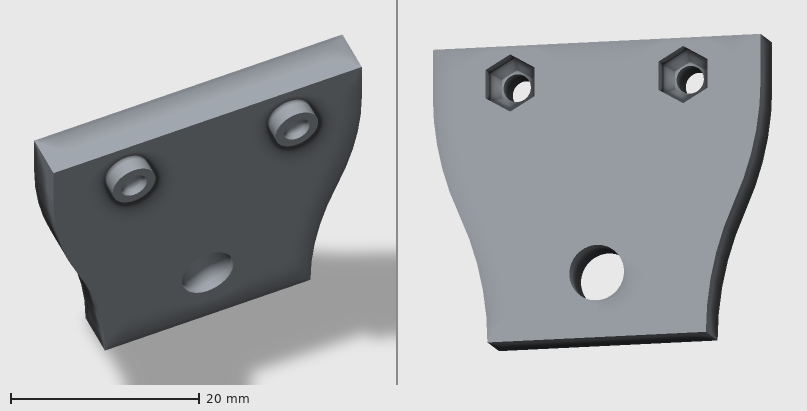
import math

import cadquery as cq

plate_thickness = 5.0
plate_height = 32.0
top_width = 36.0
bottom_width = 24.0
straight_side_height = 5.0
inflection_height = 14.0

pivot_hole_diameter = 6.0
pivot_hole_height = 7.0

screw_spacing = 19.0
screw_drop_from_top = 4.0
screw_hole_diameter = 3.0
boss_diameter = 5.0
boss_length = 2.0

nut_corners = 6.2
pocket_floor_corners = 3.9
nut_depth = 2.0
taper_depth = 1.0

curve_top = plate_height - straight_side_height
side_inset = (top_width - bottom_width) / 2
arc_angle = 2 * math.atan(side_inset / curve_top)
upper_radius = (curve_top - inflection_height) / math.sin(arc_angle)
lower_radius = inflection_height / math.sin(arc_angle)

screw_height = plate_height - screw_drop_from_top
screw_points = [(side * screw_spacing / 2, screw_height) for side in (-1, 1)]


def upper_arc_point(angle):
    """Point on the convex upper arc, measured down from its vertical end."""
    y = top_width / 2 - upper_radius * (1 - math.cos(angle))
    return y, curve_top - upper_radius * math.sin(angle)


def lower_arc_point(angle):
    """Point on the concave lower arc, measured up from its vertical end."""
    y = bottom_width / 2 + lower_radius * (1 - math.cos(angle))
    return y, lower_radius * math.sin(angle)


def mirrored(point):
    return -point[0], point[1]


def make_plate():
    upper_middle = upper_arc_point(arc_angle / 2)
    inflection = upper_arc_point(arc_angle)
    lower_middle = lower_arc_point(arc_angle / 2)
    bottom_corner = (bottom_width / 2, 0)
    curve_start = (top_width / 2, curve_top)
    top_corner = (top_width / 2, plate_height)
    return (
        cq.Workplane("YZ")
        .moveTo(*mirrored(bottom_corner))
        .lineTo(*bottom_corner)
        .threePointArc(lower_middle, inflection)
        .threePointArc(upper_middle, curve_start)
        .lineTo(*top_corner)
        .lineTo(*mirrored(top_corner))
        .lineTo(*mirrored(curve_start))
        .threePointArc(mirrored(upper_middle), mirrored(inflection))
        .threePointArc(mirrored(lower_middle), mirrored(bottom_corner))
        .close()
        .extrude(plate_thickness)
    )


def make_bosses():
    """Round bosses on the +X face, one behind each nut pocket."""
    return (
        cq.Workplane("YZ", origin=(plate_thickness, 0, 0))
        .pushPoints(screw_points)
        .circle(boss_diameter / 2)
        .extrude(boss_length)
    )


def hexagon_points(corner_diameter):
    """Hexagon corners in the YZ plane, with one corner pointing up."""
    radius = corner_diameter / 2
    angles = [math.radians(30 + 60 * corner) for corner in range(6)]
    return [(radius * math.cos(angle), radius * math.sin(angle)) for angle in angles]


def make_nut_pocket(y, z):
    """Hexagonal pocket in the -X face with a tapered bottom."""
    straight_part = (
        cq.Workplane("YZ", origin=(0, y, z))
        .polyline(hexagon_points(nut_corners))
        .close()
        .extrude(nut_depth)
    )
    tapered_part = (
        cq.Workplane("YZ", origin=(nut_depth, y, z))
        .polyline(hexagon_points(nut_corners))
        .close()
        .workplane(offset=taper_depth)
        .polyline(hexagon_points(pocket_floor_corners))
        .close()
        .loft(ruled=True)
    )
    return straight_part.union(tapered_part)


def make_through_holes():
    drill_length = plate_thickness + boss_length
    screw_holes = (
        cq.Workplane("YZ")
        .pushPoints(screw_points)
        .circle(screw_hole_diameter / 2)
        .extrude(drill_length)
    )
    pivot_hole = (
        cq.Workplane("YZ")
        .center(0, pivot_hole_height)
        .circle(pivot_hole_diameter / 2)
        .extrude(drill_length)
    )
    return screw_holes.union(pivot_hole)


result = make_plate().union(make_bosses()).cut(make_through_holes())
for screw_y, screw_z in screw_points:
    result = result.cut(make_nut_pocket(screw_y, screw_z))